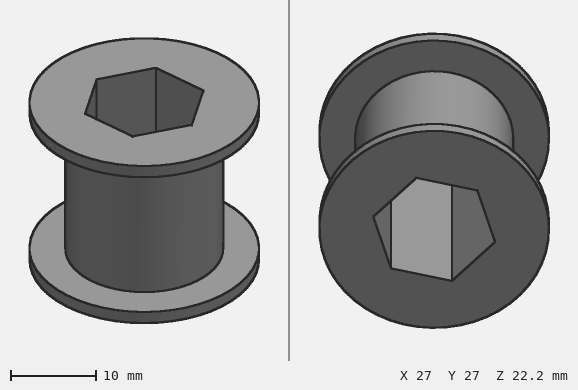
import cadquery as cq
import math

INCH = 25.4

flange_diameter = 1.0625 * INCH
flange_thickness = 0.0625 * INCH
overall_height = 0.875 * INCH
barrel_diameter = 0.732 * INCH
hex_across_flats = 0.502 * INCH

barrel_height = overall_height - 2 * flange_thickness
hex_across_corners = hex_across_flats / math.cos(math.radians(30))


def make_flange(base_z):
    """Round end flange whose lower face sits at base_z."""
    return (
        cq.Workplane("XY")
        .workplane(offset=base_z)
        .circle(flange_diameter / 2)
        .extrude(flange_thickness)
    )


def make_barrel():
    """Cylindrical core between the two flanges."""
    return (
        cq.Workplane("XY")
        .workplane(offset=flange_thickness)
        .circle(barrel_diameter / 2)
        .extrude(barrel_height)
    )


def make_hex_bore():
    """Hexagonal through bore with two corners on the X axis."""
    return cq.Workplane("XY").polygon(6, hex_across_corners).extrude(overall_height)


spool = make_barrel()
for flange_base_z in (0, overall_height - flange_thickness):
    spool = spool.union(make_flange(flange_base_z))

result = spool.cut(make_hex_bore())